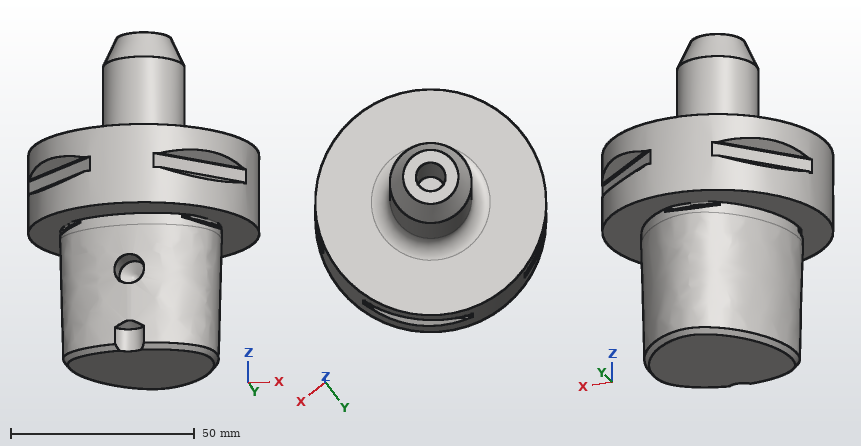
import cadquery as cq
import math

total_height = 93
flange_bottom = 38.0
flange_top = 60.2

flange_radius = 63.0 / 2
nose_radius = 11.2
nose_tip_radius = 7.5
nose_tip_height = 7.9
nose_fillet = 5.0
bore_radius = 4.0
bore_depth = 18.6

shank_radius = 22.0
lobe_height = 1.4
neck_height = 3.2
chamfer_height = 1.6
chamfer_inset = 1.3
taper_slope = 1 / 40
outline_points = 48

relief_radius = 22.3
relief_height = 0.8
relief_fillet = 0.6
relief_outer_radius = 24.2

slot_count = 4
slot_floor_distance = 27.6
slot_flare_distance = 28.4
slot_floor_width = 3.9
slot_mouth_width = 8.0
slot_center_height = 50.0

drill_half_angle = math.radians(59)
dimple_radius = 4.1
dimple_height = 22.5
dimple_depth = 7.4
notch_radius = 4.5
notch_axis_y = -21.6
notch_height = 6.2


def lobed_wire(mean_radius, z):
    """Closed constant-width curve whose distance to its tangent varies with cos(3 * angle)."""
    points = []
    for index in range(outline_points):
        angle = 2 * math.pi * index / outline_points
        phase = 3 * (angle - math.pi / 2)
        reach = mean_radius + lobe_height * math.cos(phase)
        slide = -3 * lobe_height * math.sin(phase)
        x = reach * math.cos(angle) - slide * math.sin(angle)
        y = reach * math.sin(angle) + slide * math.cos(angle)
        points.append(cq.Vector(x, y, z))
    return cq.Wire.assembleEdges([cq.Edge.makeSpline(points, periodic=True)])


def lobed_section(bottom_radius, bottom, top_radius, top):
    wires = [lobed_wire(bottom_radius, bottom), lobed_wire(top_radius, top)]
    return cq.Workplane(cq.Solid.makeLoft(wires, True))


def drill(radius, depth, start, direction):
    """Cylinder with a conical drill point at its far end."""
    point_length = radius / math.tan(drill_half_angle)
    profile = (
        cq.Workplane("XZ")
        .polyline([(0, 0), (radius, 0), (radius, depth), (0, depth + point_length)])
        .close()
        .revolve(360, (0, 0), (0, 1))
    )
    location = cq.Plane(start, xDir=(1, 0, 0), normal=direction).location
    return cq.Workplane(profile.val().moved(location))


def make_shank():
    neck_bottom = flange_bottom - neck_height
    foot_radius = shank_radius - taper_slope * (neck_bottom - chamfer_height)
    foot = lobed_section(foot_radius - chamfer_inset, 0, foot_radius, chamfer_height)
    taper = lobed_section(foot_radius, chamfer_height, shank_radius, neck_bottom)
    neck = lobed_section(shank_radius, neck_bottom, shank_radius, flange_bottom)
    return foot.union(taper).union(neck)


def make_relief():
    slope_top = flange_bottom - relief_height
    slope_bottom = slope_top - (relief_outer_radius - relief_radius)
    rounding = relief_fillet * (1 - math.sqrt(0.5))
    fillet_middle = (relief_radius + rounding, flange_bottom - rounding)
    return (
        cq.Workplane("XZ")
        .moveTo(relief_radius + relief_fillet, flange_bottom)
        .threePointArc(fillet_middle, (relief_radius, flange_bottom - relief_fillet))
        .lineTo(relief_radius, slope_top)
        .lineTo(relief_outer_radius, slope_bottom)
        .lineTo(relief_outer_radius, flange_bottom)
        .close()
        .revolve(360, (0, 0), (0, 1))
    )


def make_flange_and_nose():
    fillet_center = (nose_radius + nose_fillet, flange_top + nose_fillet)
    diagonal = nose_fillet * math.sqrt(0.5)
    fillet_middle = (fillet_center[0] - diagonal, fillet_center[1] - diagonal)
    return (
        cq.Workplane("XZ")
        .moveTo(0, flange_bottom)
        .lineTo(flange_radius, flange_bottom)
        .lineTo(flange_radius, flange_top)
        .lineTo(fillet_center[0], flange_top)
        .threePointArc(fillet_middle, (nose_radius, fillet_center[1]))
        .lineTo(nose_radius, total_height - nose_tip_height)
        .lineTo(nose_tip_radius, total_height)
        .lineTo(0, total_height)
        .close()
        .revolve(360, (0, 0), (0, 1))
    )


def make_gripper_slot():
    """Straight slot across the +X side, with upright walls at its floor and a flared mouth."""
    floor = slot_floor_width / 2
    mouth = slot_mouth_width / 2
    return (
        cq.Workplane("XZ")
        .polyline([
            (slot_floor_distance, slot_center_height - floor),
            (slot_flare_distance, slot_center_height - floor),
            (flange_radius, slot_center_height - mouth),
            (flange_radius, slot_center_height + mouth),
            (slot_flare_distance, slot_center_height + floor),
            (slot_floor_distance, slot_center_height + floor),
        ])
        .close()
        .extrude(flange_radius, both=True)
    )


bore = (
    cq.Workplane("XY", origin=(0, 0, total_height - bore_depth))
    .circle(bore_radius)
    .extrude(bore_depth)
)

flat_y = -(shank_radius - lobe_height)
drill_clearance = 2.8
dimple = drill(
    dimple_radius,
    dimple_depth + drill_clearance,
    (0, flat_y - drill_clearance, dimple_height),
    (0, 1, 0),
)
notch = drill(notch_radius, notch_height, (0, notch_axis_y, 0), (0, 0, 1))

shank = make_shank().cut(make_relief()).cut(dimple).cut(notch)
result = shank.union(make_flange_and_nose()).cut(bore)
for index in range(slot_count):
    slot_angle = (index + 0.5) * 360 / slot_count
    result = result.cut(make_gripper_slot().rotate((0, 0, 0), (0, 0, 1), slot_angle))